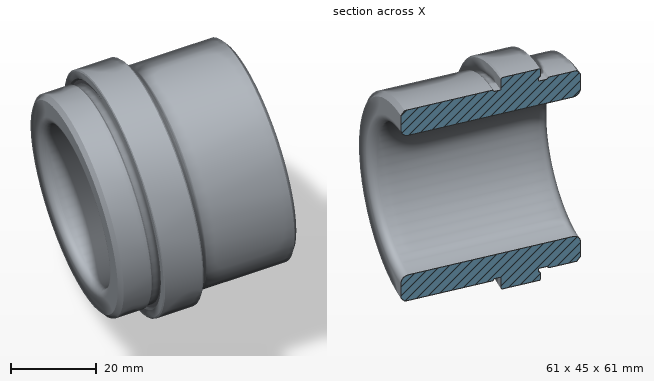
import cadquery as cq

flange_radius = 30.5
body_radius = 27.5
bore_radius = 20.0
front_land_length = 10.0
flange_width = 10.0
total_length = 45.0

end_chamfer_length = 1.0
end_chamfer_depth = 1.2
flange_rear_chamfer = 0.35
flange_front_chamfer_length = 0.2
flange_front_chamfer_depth = 0.35
bore_mouth_radius = 2.0

groove_depth = 0.5
groove_width = 2.0
groove_ramp = 0.4
face_relief_depth = 0.5
face_relief_height = 0.8
face_relief_slope = 0.4

front_y = -total_length / 2
rear_y = total_length / 2
flange_front_y = front_y + front_land_length
flange_rear_y = flange_front_y + flange_width
groove_radius = body_radius - groove_depth
relief_radius = body_radius + face_relief_height
end_radius = body_radius - end_chamfer_depth


def outer_profile():
    """Half section of the solid sleeve as (radius, Y) points, from front to rear."""
    front_end = [
        (0, front_y),
        (end_radius, front_y),
        (body_radius, front_y + end_chamfer_length),
    ]
    front_groove = [
        (body_radius, flange_front_y - groove_width),
        (groove_radius, flange_front_y - groove_width + groove_ramp),
        (groove_radius, flange_front_y + face_relief_depth),
        (relief_radius - face_relief_slope, flange_front_y + face_relief_depth),
        (relief_radius, flange_front_y),
    ]
    flange = [
        (flange_radius - flange_front_chamfer_depth, flange_front_y),
        (flange_radius, flange_front_y + flange_front_chamfer_length),
        (flange_radius, flange_rear_y - flange_rear_chamfer),
        (flange_radius - flange_rear_chamfer, flange_rear_y),
    ]
    rear_groove = [
        (groove_radius, flange_rear_y),
        (groove_radius, flange_rear_y + groove_width - groove_ramp),
        (body_radius, flange_rear_y + groove_width),
    ]
    rear_end = [
        (body_radius, rear_y - end_chamfer_length),
        (end_radius, rear_y),
        (0, rear_y),
    ]
    return front_end + front_groove + flange + rear_groove + rear_end


sleeve = cq.Workplane("XY").polyline(outer_profile()).close().revolve(360, (0, 0, 0), (0, 1, 0))

bore = (
    cq.Workplane("XZ", origin=(0, rear_y, 0))
    .circle(bore_radius)
    .extrude(total_length)
)
sleeve = sleeve.cut(bore)

smallest_circles = cq.selectors.RadiusNthSelector(0)
result = sleeve.edges("%CIRCLE").edges(smallest_circles).fillet(bore_mouth_radius)